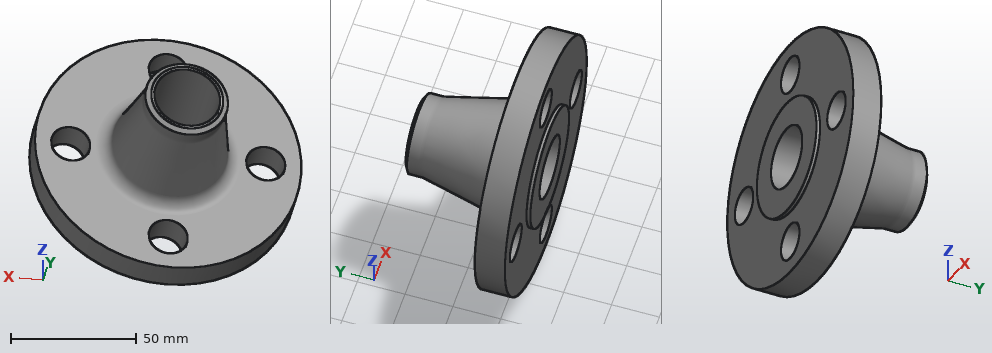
import cadquery as cq
import math

flange_diameter = 108.0
flange_thickness = 12.6
face_diameter = 51.0
face_height = 1.6

bore_diameter = 26.7
bolt_hole_diameter = 15.8
bolt_circle_diameter = 79.1
bolt_count = 4

total_length = 55.6
neck_diameter = 33.5
neck_length = 7.0
cone_angle = math.radians(12.8)
root_radius = 5.9
neck_radius = 7.0
bevel_length = 1.3
bevel_depth = 2.2

flange_radius = flange_diameter / 2
face_radius = face_diameter / 2
end_radius = neck_diameter / 2
bore_radius = bore_diameter / 2
flange_back = face_height + flange_thickness
cone_end = total_length - neck_length


def cone_radius(y):
    """Outer radius of the tapered hub at axial position y."""
    return end_radius + (cone_end - y) * math.tan(cone_angle)


def arc_point(center, radius, angle):
    """Point on an arc facing the axis, angle measured towards the flange."""
    return (
        center[0] - radius * math.cos(angle),
        center[1] - radius * math.sin(angle),
    )


root_center = (
    cone_radius(flange_back + root_radius) + root_radius / math.cos(cone_angle),
    flange_back + root_radius,
)
root_start = (root_center[0], flange_back)
root_middle = arc_point(root_center, root_radius, (math.pi / 2 + cone_angle) / 2)
root_end = arc_point(root_center, root_radius, cone_angle)

neck_tangent = neck_radius * math.tan(cone_angle / 2)
neck_center = (end_radius + neck_radius, cone_end + neck_tangent)
neck_start = arc_point(neck_center, neck_radius, cone_angle)
neck_middle = arc_point(neck_center, neck_radius, cone_angle / 2)
neck_end = arc_point(neck_center, neck_radius, 0)


def make_body():
    """Revolve the half section, with its bore, about the Y axis."""
    return (
        cq.Workplane("XY")
        .moveTo(bore_radius, 0)
        .lineTo(face_radius, 0)
        .lineTo(face_radius, face_height)
        .lineTo(flange_radius, face_height)
        .lineTo(flange_radius, flange_back)
        .lineTo(*root_start)
        .threePointArc(root_middle, root_end)
        .lineTo(*neck_start)
        .threePointArc(neck_middle, neck_end)
        .lineTo(end_radius, total_length - bevel_length)
        .lineTo(end_radius - bevel_depth, total_length)
        .lineTo(bore_radius, total_length)
        .close()
        .revolve(360, (0, 0, 0), (0, 1, 0))
    )


def make_bolt_holes():
    """Cylinders on the bolt circle, running through the flange along +Y."""
    return (
        cq.Workplane("XZ")
        .polarArray(bolt_circle_diameter / 2, 0, 360, bolt_count)
        .circle(bolt_hole_diameter / 2)
        .extrude(-flange_back)
    )


result = make_body().cut(make_bolt_holes())